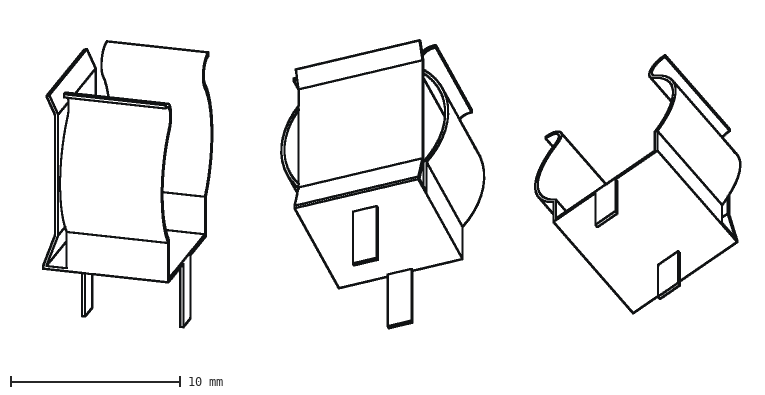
import cadquery as cq
import math

height = 15.45
sheet = 0.2
base_length = 7.7
clip_length = 6.24
clip_start = base_length - clip_length
half_width = 3.88
floor_z = 4.02

cradle_radius = 5.24
cradle_inner_radius = cradle_radius - sheet
lip_radius = 1.1
lip_inner_radius = lip_radius - sheet
lip_center_y = 4.35
lip_tip_y = 4.45
lip_center_z = height - lip_radius

center_distance = cradle_inner_radius + lip_radius
tangent_angle = math.acos(lip_center_y / center_distance)
cradle_z = lip_center_z - center_distance * math.sin(tangent_angle)

stop_bend_x = 0.73
stop_lower_bend_z = 6.23
stop_upper_bend_z = 13.85
stop_tip_x = 0.2
stop_tip_z = 14.97

leg_width = 1.5


def polar(center_y, center_z, radius, angle):
    return (center_y + radius * math.cos(angle), center_z + radius * math.sin(angle))


def make_floor():
    return cq.Workplane("XY").box(
        base_length, 2 * half_width, sheet, centered=(False, True, False)
    ).translate((0, 0, floor_z))


def make_arm():
    """Side wall, cradle arc and curled lip on the +Y side."""
    wall_inner_y = half_width - sheet
    outer_wall_z = cradle_z - math.sqrt(cradle_radius**2 - half_width**2)
    inner_wall_z = cradle_z - math.sqrt(cradle_inner_radius**2 - wall_inner_y**2)
    lip_mid_angle = (math.pi / 2 + math.pi + tangent_angle) / 2

    return (
        cq.Workplane("YZ", origin=(clip_start, 0, 0))
        .moveTo(wall_inner_y, floor_z)
        .lineTo(half_width, floor_z)
        .lineTo(half_width, outer_wall_z)
        .threePointArc(
            (cradle_radius, cradle_z),
            polar(0, cradle_z, cradle_radius, tangent_angle),
        )
        .threePointArc(
            polar(lip_center_y, lip_center_z, lip_inner_radius, lip_mid_angle),
            (lip_center_y, height - sheet),
        )
        .lineTo(lip_tip_y, height - sheet)
        .lineTo(lip_tip_y, height)
        .lineTo(lip_center_y, height)
        .threePointArc(
            polar(lip_center_y, lip_center_z, lip_radius, lip_mid_angle),
            polar(0, cradle_z, cradle_inner_radius, tangent_angle),
        )
        .threePointArc((cradle_inner_radius, cradle_z), (wall_inner_y, inner_wall_z))
        .close()
        .extrude(clip_length)
    )


def make_end_stop():
    floor_top_z = floor_z + sheet
    lean = math.atan2(stop_bend_x - stop_tip_x, stop_tip_z - stop_upper_bend_z)
    upper_miter = sheet * math.tan(lean / 2)
    outline = [
        (0, floor_z),
        (0, floor_top_z),
        (stop_bend_x, stop_lower_bend_z),
        (stop_bend_x, stop_upper_bend_z),
        (stop_tip_x, stop_tip_z),
        (stop_tip_x + sheet * math.cos(lean), stop_tip_z + sheet * math.sin(lean)),
        (stop_bend_x + sheet, stop_upper_bend_z + upper_miter),
        (stop_bend_x + sheet, stop_lower_bend_z),
        (sheet, floor_top_z),
        (sheet, floor_z),
    ]
    return cq.Workplane("XZ").polyline(outline).close().extrude(half_width, both=True)


def make_leg(start_x):
    return cq.Workplane("XY").box(
        sheet, leg_width, floor_z + sheet, centered=(False, True, False)
    ).translate((start_x, 0, 0))


arm = make_arm()
result = make_floor().union(arm).union(arm.mirror("XZ")).union(make_end_stop())
for leg_x in (clip_start, base_length - sheet):
    result = result.union(make_leg(leg_x))